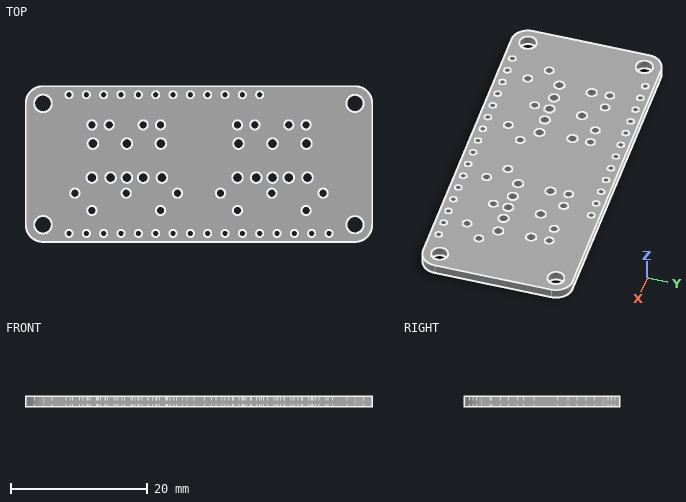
import cadquery as cq

length = 50.8
width = 22.85
thickness = 1.6
corner_radius = 2.55

mount_x = length / 2 - corner_radius
mount_y = 8.9
left_mount_diameter = 2.55
right_mount_diameter = 2.5

pin_pitch = 2.55
pin_diameter = 1.0
first_pin_x = -19.05
pin_row_y = 10.15
upper_pin_count = 12
lower_pin_count = 16

footprint_spacing = 21.35
small_hole_diameter = 1.3
large_hole_diameter = 1.5

outer_offset = 5.05
inner_offset = 2.5
wide_offset = 7.5
upper_row_y = 5.75
wide_row_y = -4.25
lower_row_y = -6.8

large_center_shift = 0.1
large_three_pitch = 5.0
large_five_inner = 2.4
large_five_outer = 5.15
large_three_y = 3.0
large_five_y = -2.0


def drill(board, points, diameter):
    """Cut through-holes at points measured from the board center."""
    drills = cq.Workplane("XY").pushPoints(points).circle(diameter / 2).extrude(thickness)
    return board.cut(drills)


def row(center_x, y, offsets):
    """Points on one horizontal line at the given offsets from center_x."""
    return [(center_x + offset, y) for offset in offsets]


def mirrored(*offsets):
    """Each offset on both sides of zero."""
    return [side * offset for offset in offsets for side in (-1, 1)]


def drill_mounting_holes(board):
    board = drill(board, row(-mount_x, mount_y, [0]) + row(-mount_x, -mount_y, [0]), left_mount_diameter)
    return drill(board, row(mount_x, mount_y, [0]) + row(mount_x, -mount_y, [0]), right_mount_diameter)


def drill_pin_row(board, y, count):
    offsets = [i * pin_pitch for i in range(count)]
    return drill(board, row(first_pin_x, y, offsets), pin_diameter)


def drill_footprint(board, center_x):
    small_holes = (
        row(center_x, upper_row_y, mirrored(inner_offset, outer_offset))
        + row(center_x, wide_row_y, [0] + mirrored(wide_offset))
        + row(center_x, lower_row_y, mirrored(outer_offset))
    )
    large_x = center_x + large_center_shift
    large_holes = (
        row(large_x, large_three_y, [0] + mirrored(large_three_pitch))
        + row(large_x, large_five_y, [0] + mirrored(large_five_inner, large_five_outer))
    )
    board = drill(board, small_holes, small_hole_diameter)
    return drill(board, large_holes, large_hole_diameter)


board = (
    cq.Workplane("XY")
    .box(length, width, thickness, centered=(True, True, False))
    .edges("|Z")
    .fillet(corner_radius)
)
board = drill_mounting_holes(board)
board = drill_pin_row(board, pin_row_y, upper_pin_count)
board = drill_pin_row(board, -pin_row_y, lower_pin_count)
for center_x in mirrored(footprint_spacing / 2):
    board = drill_footprint(board, center_x)

result = board